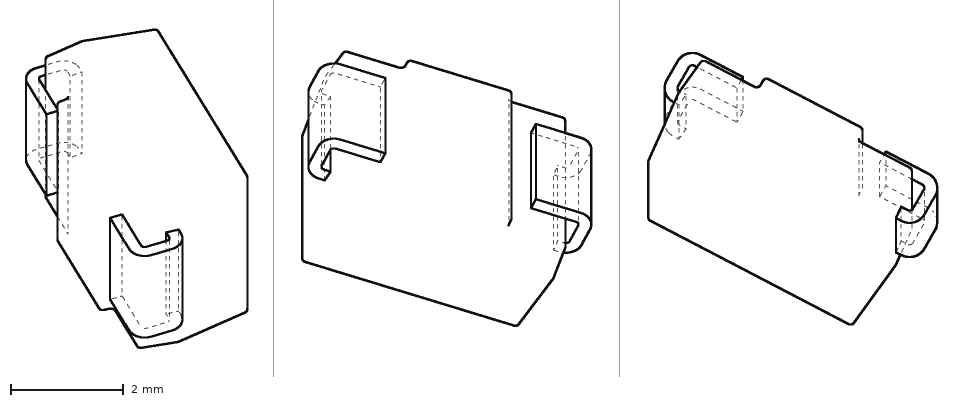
import cadquery as cq

body_height = 2.4
parting_height = 1.0
body_length = 4.38
body_width = 3.6
draft_angle = 5.0
edge_radius = 0.075

pad_length = 2.0
shelf_height = 0.25

lead_span = 5.2
lead_width = 2.0
lead_thickness = 0.23
lead_height = parting_height
lead_bend_radius = 0.3
lead_foot_length = 1.16
lead_embed = 0.3


def drafted_half(height):
    """Half body from the parting plane; a positive height goes toward -Y."""
    return (
        cq.Workplane("XZ", origin=(0, parting_height, 0))
        .rect(body_length, body_width)
        .extrude(height, taper=draft_angle)
    )


def make_body():
    upper = drafted_half(parting_height - body_height)
    lower = drafted_half(parting_height)
    for side in (-1, 1):
        shelf_cut = cq.Workplane("XY").box(
            body_length, shelf_height, 2 * body_width, centered=(True, False, True)
        )
        lower = lower.cut(shelf_cut.translate((side * (pad_length + body_length) / 2, 0, 0)))
    body = upper.union(lower)
    sharp_edges = cq.selectors.BoxSelector(
        (-body_length, parting_height - edge_radius, -body_width / 4),
        (body_length, parting_height + edge_radius, body_width / 4),
    )
    return body.edges(cq.selectors.InverseSelector(sharp_edges)).fillet(edge_radius)


def make_left_lead():
    outer_x = -lead_span / 2
    inner_x = outer_x + lead_thickness
    foot_x = outer_x + lead_foot_length
    embedded_x = -body_length / 2 + lead_embed
    outer_bend = lead_bend_radius
    inner_bend = lead_bend_radius - lead_thickness
    return (
        cq.Workplane("XY", origin=(0, 0, -lead_width / 2))
        .moveTo(embedded_x, lead_height)
        .lineTo(outer_x + outer_bend, lead_height)
        .radiusArc((outer_x, lead_height - outer_bend), -outer_bend)
        .lineTo(outer_x, outer_bend)
        .radiusArc((outer_x + outer_bend, 0), -outer_bend)
        .lineTo(foot_x, 0)
        .lineTo(foot_x, lead_thickness)
        .lineTo(inner_x + inner_bend, lead_thickness)
        .radiusArc((inner_x, lead_thickness + inner_bend), inner_bend)
        .lineTo(inner_x, lead_height - lead_thickness - inner_bend)
        .radiusArc((inner_x + inner_bend, lead_height - lead_thickness), inner_bend)
        .lineTo(embedded_x, lead_height - lead_thickness)
        .close()
        .extrude(lead_width)
    )


left_lead = make_left_lead()
right_lead = left_lead.mirror("YZ")
result = make_body().union(left_lead).union(right_lead)